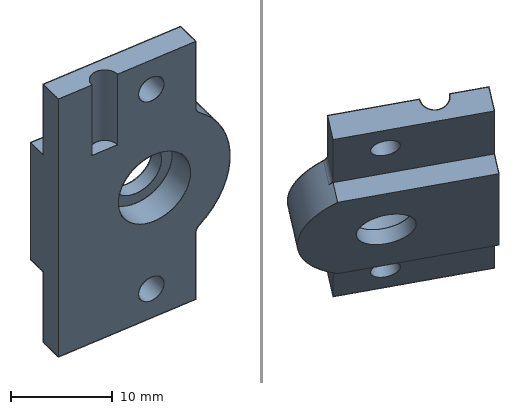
import cadquery as cq
import math

total_thickness = 5.0
total_width = 20.23
plate_thickness = 2.75
plate_width = 16.19
plate_height = 32.94
plate_front_x = total_thickness - plate_thickness

lug_radius = 8.92
bore_y = total_width - lug_radius
lug_half_height = math.sqrt(lug_radius**2 - (plate_width - bore_y) ** 2)
blend_radius = 1.0

bore_diameter = 6.0
bore_depth = 1.7
recess_diameter = 8.5

screw_diameter = 3.0
screw_y = 10.94
screw_spacing = 25.5

notch_diameter = 3.0
notch_y = 5.46
notch_depth = plate_height / 2 - lug_half_height


def cylinder_along_x(y, z, diameter, x_min, x_max):
    """Cylinder along X between two X positions."""
    return cq.Workplane("YZ", origin=(x_min, y, z)).circle(diameter / 2).extrude(x_max - x_min)


def make_plate():
    """Thin rectangular plate at the back of the part."""
    plate = cq.Workplane("XY").box(
        plate_thickness, plate_width, plate_height, centered=(False, False, True)
    )
    return plate.translate((plate_front_x, 0, 0))


def make_lug():
    """Full-thickness centre block with a round end."""
    return (
        cq.Workplane("YZ")
        .moveTo(0, -lug_half_height)
        .lineTo(plate_width, -lug_half_height)
        .threePointArc((total_width, 0), (plate_width, lug_half_height))
        .lineTo(0, lug_half_height)
        .close()
        .extrude(total_thickness)
    )


def make_blend(side):
    """Concave blend between plate edge and lug arc; side is +1 for the top, -1 for the bottom."""
    centre_reach = lug_radius + blend_radius
    centre_y = plate_width + blend_radius
    centre_angle = math.acos((centre_y - bore_y) / centre_reach)
    centre_z = centre_reach * math.sin(centre_angle)

    lug_touch_y = bore_y + lug_radius * math.cos(centre_angle)
    lug_touch_z = lug_radius * math.sin(centre_angle)
    middle_y = centre_y - blend_radius * math.cos(centre_angle / 2)
    middle_z = centre_z - blend_radius * math.sin(centre_angle / 2)

    return (
        cq.Workplane("YZ", origin=(plate_front_x, 0, 0))
        .moveTo(plate_width, side * centre_z)
        .threePointArc((middle_y, side * middle_z), (lug_touch_y, side * lug_touch_z))
        .lineTo(bore_y, 0)
        .lineTo(plate_width, side * lug_half_height)
        .close()
        .extrude(plate_thickness)
    )


def make_bore():
    """Cutter for the bore and its recess."""
    bore = cylinder_along_x(bore_y, 0, bore_diameter, 0, total_thickness)
    recess = cylinder_along_x(bore_y, 0, recess_diameter, bore_depth, total_thickness)
    return bore.union(recess)


def make_screw_hole(side):
    """Cutter for one screw hole; side is +1 for the top, -1 for the bottom."""
    return cylinder_along_x(screw_y, side * screw_spacing / 2, screw_diameter, plate_front_x, total_thickness)


def make_notch():
    """Cutter for the blind notch in the top edge."""
    floor_centre = (total_thickness, notch_y, plate_height / 2 - notch_depth)
    return cq.Workplane("XY", origin=floor_centre).circle(notch_diameter / 2).extrude(notch_depth)


result = make_plate().union(make_lug())
for side in (1, -1):
    result = result.union(make_blend(side))
    result = result.cut(make_screw_hole(side))
result = result.cut(make_bore())
result = result.cut(make_notch())